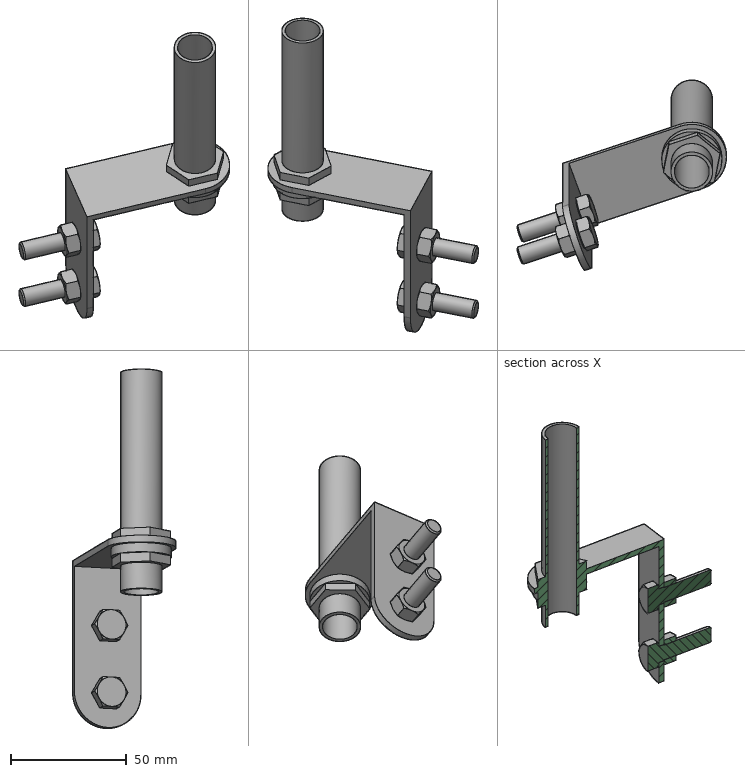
import cadquery as cq
import math

strip_width = 30.0
strip_thickness = 3.0
strip_height = 72.9
axis_to_front = 54.0
end_radius = strip_width / 2
front_y = -axis_to_front
back_y = front_y + strip_thickness
arm_bottom = strip_height - strip_thickness

tube_diameter = 18.0
bore_diameter = 15.0
tube_top = 147.0
tube_bottom = 50.7
collar_diameter = 26.0
collar_height = 4.0

bolt_heights = (14.7, 44.2)
bolt_diameter = 8.0
tip_diameter = 6.6
bolt_projection = 25.0
hex_flats = 13.0
hex_corners = hex_flats / math.cos(math.pi / 6)
hex_chamfer_angle = 30.0
head_height = 5.5
bearing_diameter = 11.8
bearing_height = 0.5
nut_height = 6.3


def hex_prism(height, chamfer_bottom):
    """Hexagon along +Z with corners on X, rounded off by cones at the top and, if asked, the bottom."""
    cone_radius = hex_flats / 2
    corner_radius = hex_corners / 2
    drop = (corner_radius - cone_radius) * math.tan(math.radians(hex_chamfer_angle))
    profile = cq.Workplane("XZ")
    if chamfer_bottom:
        profile = profile.lineTo(cone_radius, 0).lineTo(corner_radius, drop)
    else:
        profile = profile.lineTo(corner_radius, 0)
    profile = profile.lineTo(corner_radius, height - drop).lineTo(cone_radius, height).lineTo(0, height)
    envelope = profile.close().revolve(360, (0, 0), (0, 1))
    return cq.Workplane("XY").polygon(6, hex_corners).extrude(height).intersect(envelope)


def make_strip():
    arm = (
        cq.Workplane("XY", origin=(0, 0, arm_bottom))
        .moveTo(-end_radius, front_y)
        .lineTo(end_radius, front_y)
        .lineTo(end_radius, 0)
        .threePointArc((0, end_radius), (-end_radius, 0))
        .close()
        .extrude(strip_thickness)
    )
    leg = (
        cq.Workplane("XZ", origin=(0, back_y, 0))
        .moveTo(-end_radius, strip_height)
        .lineTo(end_radius, strip_height)
        .lineTo(end_radius, end_radius)
        .threePointArc((0, 0), (-end_radius, end_radius))
        .close()
        .extrude(strip_thickness)
    )
    return arm.union(leg)


def make_hex_collar(bottom):
    """Flat hexagon around the tube with two corners on Y."""
    hexagon = cq.Workplane("XY").polygon(6, collar_diameter).extrude(collar_height)
    return hexagon.rotate((0, 0, 0), (0, 0, 1), 90).translate((0, 0, bottom))


def make_holder():
    round_collar_bottom = arm_bottom - collar_height
    tube = (
        cq.Workplane("XY", origin=(0, 0, tube_bottom))
        .circle(tube_diameter / 2)
        .extrude(tube_top - tube_bottom)
    )
    round_collar = (
        cq.Workplane("XY", origin=(0, 0, round_collar_bottom))
        .circle(collar_diameter / 2)
        .extrude(collar_height)
    )
    bore = (
        cq.Workplane("XY", origin=(0, 0, tube_bottom))
        .circle(bore_diameter / 2)
        .extrude(tube_top - tube_bottom)
    )
    holder = (
        make_strip()
        .union(tube)
        .union(make_hex_collar(strip_height))
        .union(round_collar)
        .union(make_hex_collar(round_collar_bottom - collar_height))
        .cut(bore)
    )
    for height in bolt_heights:
        bolt_hole = (
            cq.Workplane("XZ", origin=(0, back_y, height))
            .circle(bolt_diameter / 2)
            .extrude(strip_thickness)
        )
        holder = holder.cut(bolt_hole)
    return holder


def make_bolt(height):
    """Hexagon bolt pointing to -Y, its bearing face against the back of the strip."""
    head = hex_prism(head_height, chamfer_bottom=False).translate((0, 0, bearing_height))
    bearing = cq.Workplane("XY").circle(bearing_diameter / 2).extrude(bearing_height)
    shank = (
        cq.Workplane("XY")
        .circle(bolt_diameter / 2)
        .extrude(-strip_thickness - bolt_projection)
        .faces("<Z")
        .chamfer((bolt_diameter - tip_diameter) / 2)
    )
    bolt = head.union(bearing).union(shank)
    return bolt.rotate((0, 0, 0), (1, 0, 0), -90).translate((0, back_y, height))


def make_nut(height):
    """Hexagon nut against the front of the strip, chamfered at both ends."""
    hole = cq.Workplane("XY").circle(bolt_diameter / 2).extrude(nut_height)
    nut = hex_prism(nut_height, chamfer_bottom=True).cut(hole)
    return nut.rotate((0, 0, 0), (1, 0, 0), 90).translate((0, front_y, height))


holder = make_holder()
bolts = [make_bolt(height) for height in bolt_heights]
nuts = [make_nut(height) for height in bolt_heights]

result = cq.Compound.makeCompound(
    [holder.val(), *[bolt.val() for bolt in bolts], *[nut.val() for nut in nuts]]
)